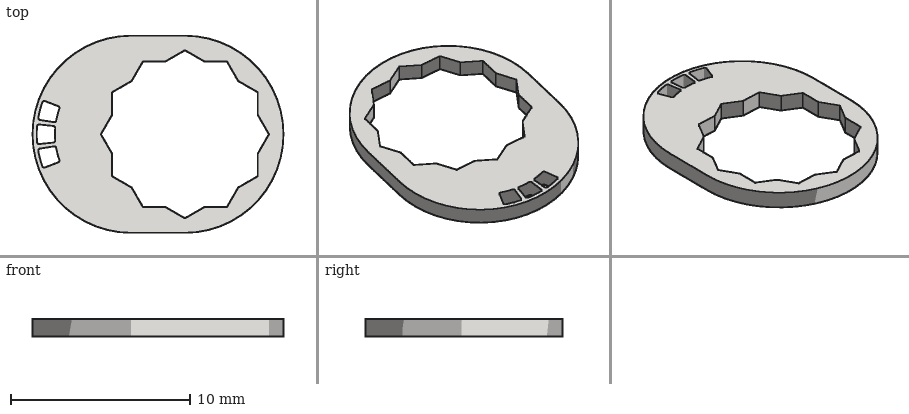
import cadquery as cq
import math

plate_length = 14.0
plate_width = 11.0
plate_thickness = 1.0
center_distance = plate_length - plate_width

wrench_across_flats = 8.1
hexagon_sides = 6
hexagon_half_step = 180 / hexagon_sides
hexagon_corner_diameter = wrench_across_flats / math.cos(math.radians(hexagon_half_step))

window_outer_radius = 5.25
window_inner_radius = 4.25
window_sweep = 12.0
window_pitch = 15.0
window_corner_radius = 0.1
window_count = 3
window_row_direction = 180


def make_plate():
    return (
        cq.Workplane("XY")
        .center(-center_distance / 2, 0)
        .slot2D(plate_length, plate_width)
        .extrude(plate_thickness)
    )


def make_wrench_opening():
    """Two hexagons turned half a step apart give the twelve points."""
    hexagon = (
        cq.Workplane("XY")
        .polygon(hexagon_sides, hexagon_corner_diameter)
        .extrude(plate_thickness)
    )
    turned_hexagon = hexagon.rotate((0, 0, 0), (0, 0, 1), hexagon_half_step)
    return hexagon.union(turned_hexagon)


def polar_point(radius, angle):
    """Point at an angle in degrees about the centre of the closed end."""
    x = -center_distance + radius * math.cos(math.radians(angle))
    y = radius * math.sin(math.radians(angle))
    return (x, y)


def make_window(middle_angle):
    """Ring sector with radial side walls and rounded corners."""
    start_angle = middle_angle - window_sweep / 2
    end_angle = middle_angle + window_sweep / 2
    return (
        cq.Workplane("XY")
        .moveTo(*polar_point(window_inner_radius, start_angle))
        .lineTo(*polar_point(window_outer_radius, start_angle))
        .threePointArc(
            polar_point(window_outer_radius, middle_angle),
            polar_point(window_outer_radius, end_angle),
        )
        .lineTo(*polar_point(window_inner_radius, end_angle))
        .threePointArc(
            polar_point(window_inner_radius, middle_angle),
            polar_point(window_inner_radius, start_angle),
        )
        .close()
        .extrude(plate_thickness)
        .edges("|Z")
        .fillet(window_corner_radius)
    )


result = make_plate().cut(make_wrench_opening())

for index in range(window_count):
    offset_from_middle = index - (window_count - 1) / 2
    result = result.cut(make_window(window_row_direction + offset_from_middle * window_pitch))